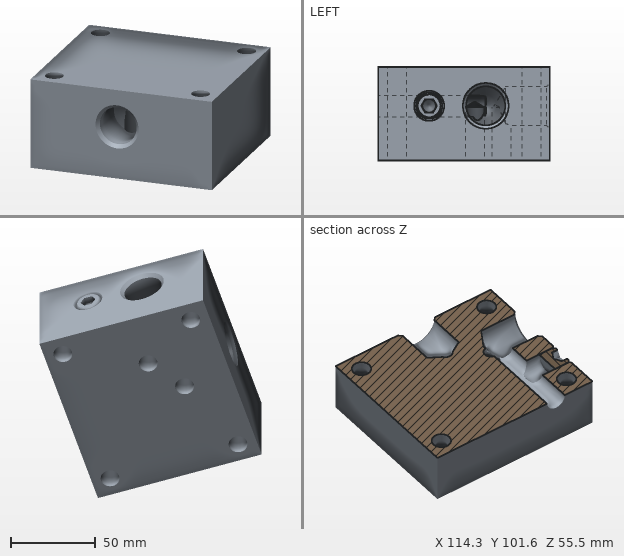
import cadquery as cq
import math

LENGTH = 114.3
WIDTH = 101.6
HEIGHT = 55.5

BOLT_DIAMETER = 11.2
BOLT_INSET = 11.1

POINT_ANGLE = math.radians(118)

AXIS_BELOW_TOP = 23.1
AXIS_Z = HEIGHT - AXIS_BELOW_TOP
PORT_DIAMETER = 23.1
PORT_MOUTH_DIAMETER = 27.1
PORT_MOUTH_DEPTH = 2.1
PORT_DEPTH = 26.3
FRONT_PORT_X = 54.6
SIDE_PORT_Y = 38.0

RISER_DIAMETER = 11.2
RISER_BELOW_AXIS = 0.8
RISER_TOP_Z = AXIS_Z - RISER_BELOW_AXIS
FRONT_RISER_Y = 28.8
SIDE_RISER_X = 32.7
SIDE_RISER_Y = 44.5
GALLERY_DIAMETER = 12.8
GALLERY_X = 27.0
GALLERY_END_Y = 38.2

PLUG_Y = 71.4
PLUG_DIAMETER = 15.5
PLUG_LENGTH = 11.4
PLUG_CHAMFER = 1.0
PLUG_MOUTH_DIAMETER = 17.8
SOCKET_SIDES = 6
SOCKET_ACROSS_FLATS = 8.0
SOCKET_DEPTH = 4.1
PLUG_BORE_DEPTH = 25.1


def drilled_hole(mouth, direction, diameter, depth):
    """Blind hole with a drill point; depth is measured to the shoulder of the point."""
    radius = diameter / 2
    tip = depth + radius / math.tan(POINT_ANGLE / 2)
    profile = cq.Workplane("XZ").polyline([(0, 0), (radius, 0), (radius, depth), (0, tip)]).close()
    hole = profile.revolve(360, (0, 0, 0), (0, 1, 0)).val()
    return hole.moved(cq.Plane(mouth, normal=direction).location)


def countersink(mouth, direction, outer_diameter, inner_diameter, depth):
    """Conical mouth that narrows from the outer to the inner diameter."""
    return cq.Solid.makeCone(
        outer_diameter / 2, inner_diameter / 2, depth, cq.Vector(*mouth), cq.Vector(*direction)
    )


def make_port(mouth, direction):
    hole = drilled_hole(mouth, direction, PORT_DIAMETER, PORT_DEPTH)
    return [hole, countersink(mouth, direction, PORT_MOUTH_DIAMETER, PORT_DIAMETER, PORT_MOUTH_DEPTH)]


def make_passages():
    risers = [
        drilled_hole((x, y, 0), (0, 0, 1), RISER_DIAMETER, RISER_TOP_Z)
        for x, y in [(FRONT_PORT_X, FRONT_RISER_Y), (SIDE_RISER_X, SIDE_RISER_Y)]
    ]
    gallery = drilled_hole((GALLERY_X, WIDTH, AXIS_Z), (0, -1, 0), GALLERY_DIAMETER, WIDTH - GALLERY_END_Y)
    return risers + [gallery]


def make_plug_bore():
    mouth = (0, PLUG_Y, AXIS_Z)
    inward = (1, 0, 0)
    bore = drilled_hole(mouth, inward, PLUG_DIAMETER, PLUG_BORE_DEPTH)
    mouth_depth = (PLUG_MOUTH_DIAMETER - PLUG_DIAMETER) / 2
    return [bore, countersink(mouth, inward, PLUG_MOUTH_DIAMETER, PLUG_DIAMETER, mouth_depth)]


def make_block():
    block = cq.Workplane("XY").box(LENGTH, WIDTH, HEIGHT, centered=False)
    block = (
        block.faces(">Z").workplane(centerOption="CenterOfBoundBox")
        .rect(LENGTH - 2 * BOLT_INSET, WIDTH - 2 * BOLT_INSET, forConstruction=True)
        .vertices().hole(BOLT_DIAMETER)
    )
    cutters = make_port((FRONT_PORT_X, 0, AXIS_Z), (0, 1, 0))
    cutters += make_port((0, SIDE_PORT_Y, AXIS_Z), (1, 0, 0))
    cutters += make_passages()
    cutters += make_plug_bore()
    for cutter in cutters:
        block = block.cut(cq.Workplane(obj=cutter))
    return block


def make_plug():
    """Chamfered plug, flush with the block, with a hexagon socket that has a conical floor."""
    face_center = (0, PLUG_Y, AXIS_Z)
    across_corners = SOCKET_ACROSS_FLATS / math.cos(math.pi / SOCKET_SIDES)
    floor_cone_height = SOCKET_ACROSS_FLATS / 2 / math.tan(POINT_ANGLE / 2)
    plug = (
        cq.Workplane("YZ", origin=face_center).circle(PLUG_DIAMETER / 2).extrude(PLUG_LENGTH)
        .faces("<X").chamfer(PLUG_CHAMFER)
    )
    socket = (
        cq.Workplane("YZ", origin=face_center).polygon(SOCKET_SIDES, across_corners).extrude(SOCKET_DEPTH)
    )
    floor = cq.Solid.makeCone(
        SOCKET_ACROSS_FLATS / 2, 0, floor_cone_height,
        cq.Vector(SOCKET_DEPTH, PLUG_Y, AXIS_Z), cq.Vector(1, 0, 0),
    )
    return plug.cut(socket).cut(cq.Workplane(obj=floor))


block = make_block()
plug = make_plug()
result = cq.Compound.makeCompound([block.val(), plug.val()])